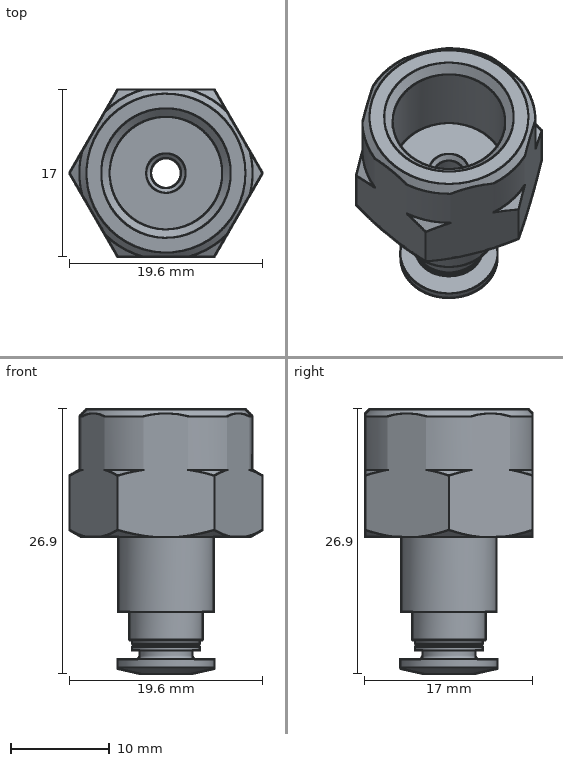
import cadquery as cq
import math

total_height = 26.9
collar_bottom = 20.75
hex_bottom = 13.93
stem_bottom = 6.32
spigot_bottom = 3.42
lower_ring_bottom = 2.4
flange_top = 1.5
flange_rim_bottom = 0.65

across_flats = 17.0
across_corners = across_flats / math.cos(math.pi / 6)
collar_radius = 17.6 / 2
collar_chamfer = 0.73
hex_bottom_face_radius = 8.6
corner_slope = math.tan(math.radians(30))

stem_radius = 9.7 / 2
spigot_radius = 7.5 / 2
spigot_chamfer = 0.1
ring_radius = 6.9 / 2
ring_groove_depth = 0.15
ring_groove_middle = 2.93
neck_radius = 5.4 / 2
neck_fillet = 0.35
flange_radius = 9.9 / 2
flange_edge_fillet = 0.15
flange_bottom_radius = 2.58
flange_cone_height = 0.55

socket_radius = 11.43 / 2
socket_mouth_radius = 13.15 / 2
socket_depth = 10.0
bore_radius = 3.0 / 2
bore_mouth_radius = 4.0 / 2


def revolve_profile(points):
    """Revolve a closed (radius, height) outline about the Z axis."""
    return cq.Workplane("XZ").polyline(points).close().revolve(360, (0, 0), (0, 1))


def make_hex_body():
    """Hexagon trimmed by a turned envelope: collar above, 30 degree corner chamfers on both ends."""
    corner_radius = across_corners / 2
    upper_corner = collar_bottom - (corner_radius - collar_radius) * corner_slope
    lower_corner = hex_bottom + (corner_radius - hex_bottom_face_radius) * corner_slope
    hexagon = (
        cq.Workplane("XY", origin=(0, 0, hex_bottom))
        .polygon(6, across_corners)
        .extrude(total_height - hex_bottom)
    )
    envelope = revolve_profile([
        (0, hex_bottom),
        (hex_bottom_face_radius, hex_bottom),
        (corner_radius, lower_corner),
        (corner_radius, upper_corner),
        (collar_radius, collar_bottom),
        (collar_radius, total_height - collar_chamfer),
        (collar_radius - collar_chamfer, total_height),
        (0, total_height),
    ])
    return hexagon.intersect(envelope)


def make_stem():
    """Stem, spigot and the pair of rings split by a V groove."""
    groove_radius = ring_radius - ring_groove_depth
    return revolve_profile([
        (0, lower_ring_bottom),
        (ring_radius, lower_ring_bottom),
        (ring_radius, ring_groove_middle - ring_groove_depth),
        (groove_radius, ring_groove_middle),
        (ring_radius, ring_groove_middle + ring_groove_depth),
        (ring_radius, spigot_bottom),
        (spigot_radius - spigot_chamfer, spigot_bottom),
        (spigot_radius, spigot_bottom + spigot_chamfer),
        (spigot_radius, stem_bottom),
        (stem_radius, stem_bottom),
        (stem_radius, hex_bottom),
        (0, hex_bottom),
    ])


def make_end_flange():
    """Neck with a filleted root on a flange whose underside is conical."""
    fillet_mid = neck_fillet * (1 - math.sqrt(0.5))
    edge_start = flange_radius - flange_edge_fillet
    cone_slope = flange_cone_height / (flange_radius - flange_bottom_radius)
    edge_height = (edge_start - flange_bottom_radius) * cone_slope
    return (
        cq.Workplane("XZ")
        .moveTo(0, 0)
        .lineTo(flange_bottom_radius, 0)
        .lineTo(edge_start, edge_height)
        .tangentArcPoint((flange_radius, flange_rim_bottom), relative=False)
        .lineTo(flange_radius, flange_top)
        .lineTo(neck_radius + neck_fillet, flange_top)
        .threePointArc(
            (neck_radius + fillet_mid, flange_top + fillet_mid),
            (neck_radius, flange_top + neck_fillet),
        )
        .lineTo(neck_radius, lower_ring_bottom)
        .lineTo(0, lower_ring_bottom)
        .close()
        .revolve(360, (0, 0), (0, 1))
    )


def make_bore():
    """Socket with a chamfered mouth, leading into a chamfered through bore."""
    socket_floor = total_height - socket_depth
    mouth_chamfer = socket_mouth_radius - socket_radius
    bore_chamfer = bore_mouth_radius - bore_radius
    return revolve_profile([
        (0, 0),
        (bore_radius, 0),
        (bore_radius, socket_floor - bore_chamfer),
        (bore_mouth_radius, socket_floor),
        (socket_radius, socket_floor),
        (socket_radius, total_height - mouth_chamfer),
        (socket_mouth_radius, total_height),
        (0, total_height),
    ])


result = make_hex_body().union(make_stem()).union(make_end_flange()).cut(make_bore())